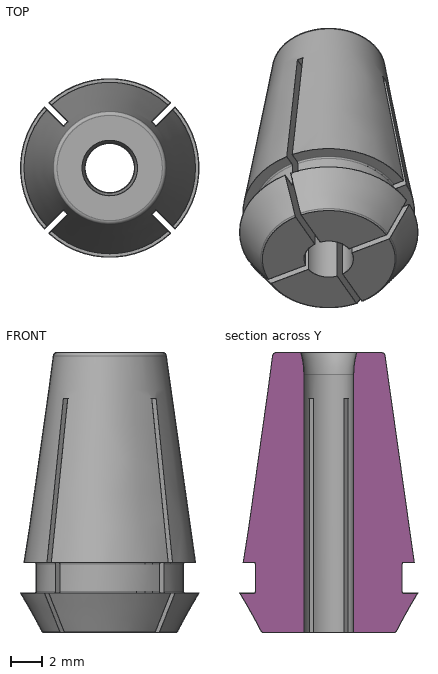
import cadquery as cq
import math

height = 18.0
flange_radius = 11.47 / 2
bottom_radius = 8.71 / 2
neck_radius = 9.47 / 2
cone_base_radius = 11.02 / 2
cone_top_radius = 7.2 / 2
flange_top = 2.54
cone_base = 4.5
top_fillet = 0.25
bottom_chamfer = 0.09
neck_fillet = 0.09

bore_radius = 3.17 / 2
mouth_radius = 3.56 / 2
mouth_depth = 1.42

slot_width = 0.4
slot_top = 15.05
slot_angles = (45, 135)


def make_body():
    """Revolve the taper, the neck and the flared flange."""
    body = (
        cq.Workplane("XZ")
        .moveTo(0, 0)
        .lineTo(bottom_radius - bottom_chamfer, 0)
        .lineTo(bottom_radius, bottom_chamfer)
        .lineTo(flange_radius, flange_top)
        .lineTo(neck_radius + neck_fillet, flange_top)
        .radiusArc((neck_radius, flange_top + neck_fillet), neck_fillet)
        .lineTo(neck_radius, cone_base - neck_fillet)
        .radiusArc((neck_radius + neck_fillet, cone_base), neck_fillet)
        .lineTo(cone_base_radius, cone_base)
        .lineTo(cone_top_radius, height)
        .lineTo(0, height)
        .close()
        .revolve(360, (0, 0, 0), (0, 1, 0))
    )
    return body.faces(">Z").edges().fillet(top_fillet)


def make_bore():
    """Through bore whose mouth flares along an arc tangent to the bore wall."""
    flare = mouth_radius - bore_radius
    arc_radius = (mouth_depth**2 + flare**2) / (2 * flare)
    half_sweep = math.asin(mouth_depth / arc_radius) / 2
    arc_middle = (
        bore_radius + arc_radius * (1 - math.cos(half_sweep)),
        height - mouth_depth + arc_radius * math.sin(half_sweep),
    )
    return (
        cq.Workplane("XZ")
        .moveTo(0, 0)
        .lineTo(bore_radius, 0)
        .lineTo(bore_radius, height - mouth_depth)
        .threePointArc(arc_middle, (mouth_radius, height))
        .lineTo(0, height)
        .close()
        .revolve(360, (0, 0, 0), (0, 1, 0))
    )


def make_slots():
    """Crossed vertical slots that split the lower part into four jaws."""
    slots = cq.Workplane("XY")
    for angle in slot_angles:
        slot = (
            cq.Workplane("XY")
            .rect(2 * flange_radius + slot_width, slot_width)
            .extrude(slot_top)
            .rotate((0, 0, 0), (0, 0, 1), angle)
        )
        slots = slots.add(slot)
    return slots.combine()


result = make_body().cut(make_bore()).cut(make_slots())